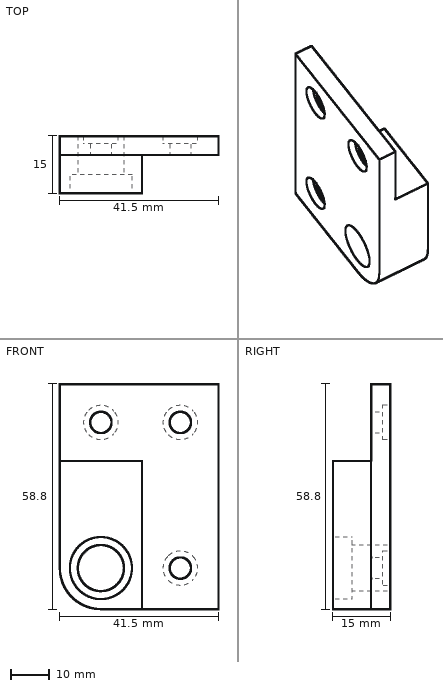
import cadquery as cq

plate_width = 41.5
plate_height = 58.75
plate_thickness = 5.0
total_depth = 15.0

block_width = 21.5
block_height = 38.7
corner_radius = block_width / 2

bore_diameter = 12.0
counterbore_diameter = 16.2
counterbore_depth = 5.0

mount_diameter = 5.5
screw_head_diameter = 9.0
screw_head_depth = 2.0
hole_spacing_x = 20.75
hole_spacing_z = 38.0
bore_x = corner_radius
bore_z = corner_radius
mount_points = [
    (bore_x, bore_z + hole_spacing_z),
    (bore_x + hole_spacing_x, bore_z + hole_spacing_z),
    (bore_x + hole_spacing_x, bore_z),
]


def slab(width, height, depth):
    """Box from the lower left corner, extending from Y = 0 toward -Y."""
    return cq.Workplane("XZ").rect(width, height, centered=False).extrude(depth)


def cylinders(points, diameter, start, depth):
    """Cylinders along -Y that begin at the given distance in front of Y = 0."""
    return (
        cq.Workplane("XZ", origin=(0, -start, 0))
        .pushPoints(points)
        .circle(diameter / 2)
        .extrude(depth)
    )


plate = slab(plate_width, plate_height, plate_thickness)
block = slab(block_width, block_height, total_depth)
body = plate.union(block)
lower_left_corner = body.edges("|Y").edges("<X").edges("<Z")
body = lower_left_corner.fillet(corner_radius)

bore_point = [(bore_x, bore_z)]
body = body.cut(cylinders(bore_point, bore_diameter, 0, total_depth))
counterbore_floor = total_depth - counterbore_depth
body = body.cut(cylinders(bore_point, counterbore_diameter, counterbore_floor, counterbore_depth))
body = body.cut(cylinders(mount_points, mount_diameter, 0, plate_thickness))
result = body.cut(cylinders(mount_points, screw_head_diameter, 0, screw_head_depth))